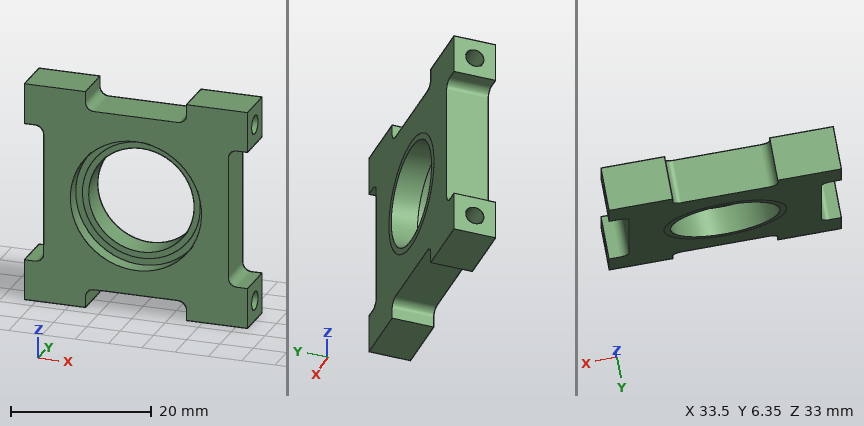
import cadquery as cq

width = 33.53
thickness = 6.35
height = 33.03

notch_depth = 2.9
lug_length_x = 9.2
lug_length_z = 6.1
notch_radius = 1.27

recess_radius = 9.85
recess_depth = 2.35
seat_radius = 8.85
ring_bore_radius = 7.9
ring_length = thickness - recess_depth

hole_diameter = 2.75
hole_depth = 6.05
drill_point_depth = 0.8
hole_offset_z = (height - lug_length_z) / 2

front_y = -thickness / 2
back_y = thickness / 2


def rounded_notch(size_x, size_z, center_x, center_z):
    """Through-thickness cutter with rounded corners, centred on an outer edge of the frame."""
    return (
        cq.Workplane("XY")
        .box(size_x, thickness, size_z)
        .edges("|Y")
        .fillet(notch_radius)
        .translate((center_x, 0, center_z))
    )


def cylinder_along_y(radius, start_y, length):
    return cq.Workplane(cq.Solid.makeCylinder(radius, length, cq.Vector(0, start_y, 0), cq.Vector(0, 1, 0)))


def drilled_hole(side, center_z):
    """Blind hole running inward from the side face at X = side * width / 2, with a conical bottom."""
    hole_radius = hole_diameter / 2
    profile = (
        cq.Workplane("XY")
        .polyline([
            (0, 0),
            (hole_depth, 0),
            (hole_depth, hole_radius),
            (drill_point_depth, hole_radius),
        ])
        .close()
    )
    hole = profile.revolve(360, (0, 0, 0), (1, 0, 0)).translate((width / 2 - hole_depth, 0, center_z))
    return hole if side > 0 else hole.mirror("YZ")


def make_frame():
    frame = cq.Workplane("XY").box(width, thickness, height)
    for side in (-1, 1):
        frame = frame.cut(rounded_notch(width - 2 * lug_length_x, 2 * notch_depth, 0, side * height / 2))
        frame = frame.cut(rounded_notch(2 * notch_depth, height - 2 * lug_length_z, side * width / 2, 0))
        for level in (-1, 1):
            frame = frame.cut(drilled_hole(side, level * hole_offset_z))
    frame = frame.cut(cylinder_along_y(recess_radius, front_y, recess_depth))
    return frame.cut(cylinder_along_y(seat_radius, front_y, thickness))


def make_ring():
    start_y = back_y - ring_length
    ring = cylinder_along_y(seat_radius, start_y, ring_length)
    return ring.cut(cylinder_along_y(ring_bore_radius, start_y, ring_length))


frame = make_frame()
ring = make_ring()

result = cq.Compound.makeCompound([frame.val(), ring.val()])